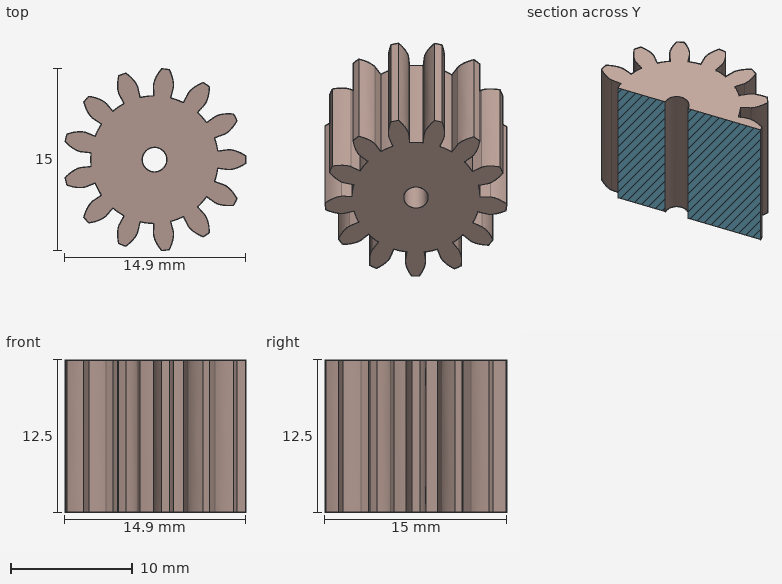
import cadquery as cq
import math

TOOTH_COUNT = 13
OUTER_DIAMETER = 15.0
FACE_WIDTH = 12.5
BORE_DIAMETER = 2.0
PRESSURE_ANGLE = math.radians(20)
DEDENDUM_FACTOR = 1.25
FLANK_STEPS = 6

module = OUTER_DIAMETER / (TOOTH_COUNT + 2)
tip_radius = OUTER_DIAMETER / 2
pitch_radius = module * TOOTH_COUNT / 2
root_radius = pitch_radius - DEDENDUM_FACTOR * module
base_radius = pitch_radius * math.cos(PRESSURE_ANGLE)
tooth_pitch = 2 * math.pi / TOOTH_COUNT


def involute(angle):
    return math.tan(angle) - angle


base_half_angle = tooth_pitch / 4 + involute(PRESSURE_ANGLE)


def polar(radius, angle):
    return (radius * math.cos(angle), radius * math.sin(angle))


def half_angle_at(radius):
    """Half the angle a tooth spans at a radius on its involute flank."""
    return base_half_angle - involute(math.acos(base_radius / radius))


def flank_points(center_angle, side):
    """Involute points from base circle to tip; side is -1 or +1."""
    radial_step = (tip_radius - base_radius) / FLANK_STEPS
    radii = [base_radius + i * radial_step for i in range(FLANK_STEPS)] + [tip_radius]
    return [polar(r, center_angle + side * half_angle_at(r)) for r in radii]


def add_tooth(outline, center_angle):
    """Draw one tooth counterclockwise, then the root arc to the next tooth."""
    rising = flank_points(center_angle, -1)
    falling = flank_points(center_angle, 1)[::-1]
    root_end = polar(root_radius, center_angle + base_half_angle)
    root_middle = polar(root_radius, center_angle + tooth_pitch / 2)
    next_root = polar(root_radius, center_angle + tooth_pitch - base_half_angle)
    return (
        outline.lineTo(*rising[0])
        .spline(rising[1:], includeCurrent=True)
        .threePointArc(polar(tip_radius, center_angle), falling[0])
        .spline(falling[1:], includeCurrent=True)
        .lineTo(*root_end)
        .threePointArc(root_middle, next_root)
    )


outline = cq.Workplane("XY").moveTo(*polar(root_radius, -base_half_angle))
for tooth in range(TOOTH_COUNT):
    outline = add_tooth(outline, tooth * tooth_pitch)
gear = outline.close().extrude(FACE_WIDTH)

bore = cq.Workplane("XY").circle(BORE_DIAMETER / 2).extrude(FACE_WIDTH)
result = gear.cut(bore)